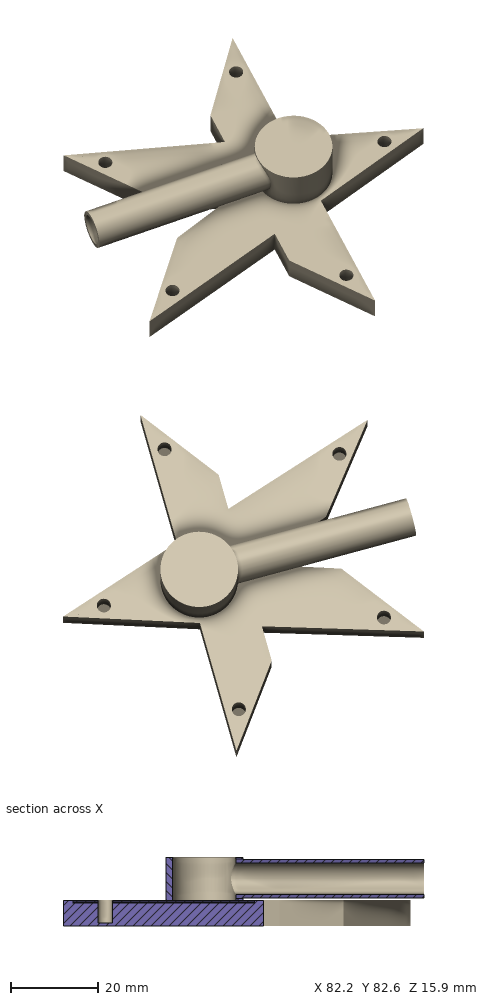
import cadquery as cq
import math

STAR_HEIGHT = 5.95
RIM_WIDTH = 0.7
SHEET_COUNT = 2
SHEET_THICKNESS = 0.29
RECESS_DEPTH = SHEET_COUNT * SHEET_THICKNESS

ARM_SPAN = 82.2
TOP_TIP_Y = 32.3
SHOULDER_Y = 2.6
SIDE_ARM_LOW_Y = -10.9
NECK_HALF_WIDTH = 9.8
WAIST_HALF_WIDTH = 14.4

STAR_OUTLINE = [
    (0, TOP_TIP_Y),
    (NECK_HALF_WIDTH, SHOULDER_Y),
    (ARM_SPAN / 2, SHOULDER_Y),
    (22.7, SIDE_ARM_LOW_Y),
    (WAIST_HALF_WIDTH, SIDE_ARM_LOW_Y),
    (26.1, -47.2),
    (6.6, -31.9),
    (1.3, -17.3),
    (0.1, -13.4),
    (-6.1, -32.05),
    (-25.45, -46.3),
    (-WAIST_HALF_WIDTH, SIDE_ARM_LOW_Y),
    (-22.7, SIDE_ARM_LOW_Y),
    (-ARM_SPAN / 2, SHOULDER_Y),
    (-NECK_HALF_WIDTH, SHOULDER_Y),
]

HOLE_DIAMETER = 3.2
HOLE_FLOOR_Z = 0.8
SIDE_HOLE_X = 31.8
SIDE_HOLE_Y = -0.6
HOLE_CENTERS = [
    (0, 22.6),
    (SIDE_HOLE_X, SIDE_HOLE_Y),
    (20.1, -38.8),
    (-19.8, -38.3),
    (-SIDE_HOLE_X, SIDE_HOLE_Y),
]

HUB_DIAMETER = 17.8
HUB_CAVITY_DIAMETER = 14.4
HUB_HEIGHT = 9.9
HUB_ROOF = 0.25

TUBE_DIAMETER = 8.8
TUBE_BORE_DIAMETER = 7.0
TUBE_X = 0.2
TUBE_Z = STAR_HEIGHT + HUB_HEIGHT / 2
OVERALL_LENGTH = 82.6
TUBE_REACH = OVERALL_LENGTH - TOP_TIP_Y


def inset_outline(corners, distance):
    """Corners of a clockwise outline, moved inward with sharp mitres."""
    inner = []
    for i, (x, y) in enumerate(corners):
        before_x, before_y = corners[i - 1]
        after_x, after_y = corners[(i + 1) % len(corners)]
        heading_in = math.atan2(y - before_y, x - before_x)
        heading_out = math.atan2(after_y - y, after_x - x)
        middle = (heading_in + heading_out) / 2
        mitre = distance / math.cos((heading_out - heading_in) / 2)
        inner.append((x + mitre * math.sin(middle), y - mitre * math.cos(middle)))
    return inner


def prism(corners, bottom_z, height):
    return cq.Workplane(origin=(0, 0, bottom_z)).polyline(corners).close().extrude(height)


def upright_cylinder(diameter, bottom_z, height):
    return cq.Workplane(origin=(0, 0, bottom_z)).circle(diameter / 2).extrude(height)


def tube_cylinder(diameter):
    """Cylinder on the tube axis, from the hub axis to the open end."""
    return cq.Workplane("XZ", origin=(TUBE_X, 0, TUBE_Z)).circle(diameter / 2).extrude(TUBE_REACH)


def tip_holes():
    return (
        cq.Workplane(origin=(0, 0, HOLE_FLOOR_Z))
        .pushPoints(HOLE_CENTERS)
        .circle(HOLE_DIAMETER / 2)
        .extrude(STAR_HEIGHT - HOLE_FLOOR_Z)
    )


def hub_cavity():
    return upright_cylinder(HUB_CAVITY_DIAMETER, STAR_HEIGHT, HUB_HEIGHT - HUB_ROOF)


def make_star_base():
    """Star with a shallow recess inside its rim and the five holes."""
    body = prism(STAR_OUTLINE, 0, STAR_HEIGHT)
    recess = prism(SHEET_OUTLINE, STAR_HEIGHT - RECESS_DEPTH, RECESS_DEPTH)
    return body.cut(recess).cut(tip_holes())


def make_cover_sheet(level):
    """One of the sheets stacked in the recess; level 0 is the lowest."""
    bottom_z = STAR_HEIGHT - RECESS_DEPTH + level * SHEET_THICKNESS
    return prism(SHEET_OUTLINE, bottom_z, SHEET_THICKNESS).cut(tip_holes())


def make_hub():
    """Hollow hub with a thin roof and a socket through its wall for the tube."""
    body = upright_cylinder(HUB_DIAMETER, STAR_HEIGHT, HUB_HEIGHT)
    return body.cut(hub_cavity()).cut(tube_cylinder(TUBE_DIAMETER))


def make_tube():
    """Tube whose inner end follows the wall of the hub cavity."""
    return tube_cylinder(TUBE_DIAMETER).cut(tube_cylinder(TUBE_BORE_DIAMETER)).cut(hub_cavity())


SHEET_OUTLINE = inset_outline(STAR_OUTLINE, RIM_WIDTH)

star_base = make_star_base()
cover_sheets = [make_cover_sheet(level) for level in range(SHEET_COUNT)]
hub = make_hub()
tube = make_tube()

result = cq.Compound.makeCompound(
    [
        star_base.val(),
        *[sheet.val() for sheet in cover_sheets],
        hub.val(),
        tube.val(),
    ]
)